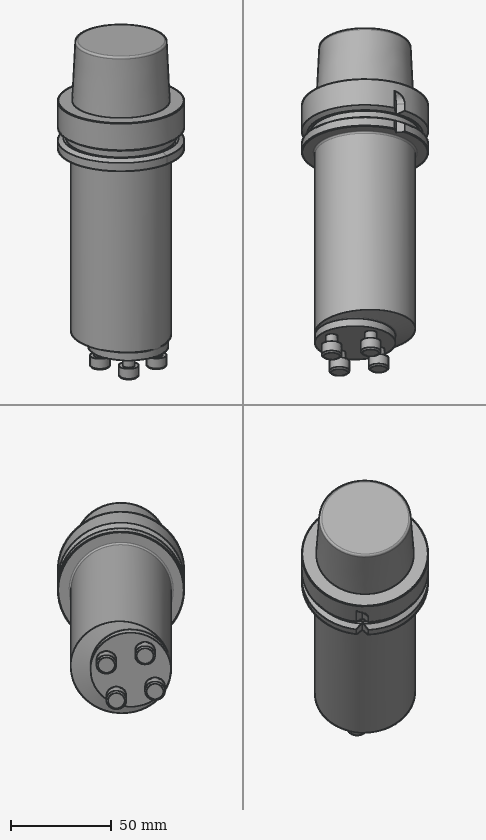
import cadquery as cq
import math

total_height = 172.5
flange_top = 140.4
flange_bottom = 114.5
pilot_top = 15.3
pilot_bottom = 10.9
screw_head_height = 6.0

shank_base_radius = 24.3
shank_tip_radius = 22.8
shank_tip_fillet = 1.2

flange_radius = 63.0 / 2
flange_edge_chamfer = 0.3
groove_floor_radius = 55.0 / 2
groove_center = 122.6
groove_floor_width = 3.8
groove_flank_radius = 28.8
groove_flank_angle = 30.0

body_radius = 50.0 / 2
root_fillet = 0.9

pilot_radius = 40.0 / 2
pilot_offset = body_radius - pilot_radius
pilot_root_fillet = 0.5
cone_slope = math.radians(15)
cone_reach = body_radius + pilot_offset

screw_pitch = 19.8
screw_shank_radius = 6.0 / 2
screw_head_radius = 10.0 / 2
screw_head_chamfer = 0.9

notch_floor_x = -19.8
notch_wall_y = 20.2
notch_radius = 5.5
notch_arc_center = 130.0


def revolve_profile(points):
    """Turn a closed (radius, height) outline about the Z axis."""
    return cq.Workplane("XZ").polyline(points).close().revolve(360, (0, 0), (0, 1))


def make_shank():
    return revolve_profile([
        (0, flange_top),
        (shank_base_radius, flange_top),
        (shank_tip_radius, total_height),
        (0, total_height),
    ]).faces(">Z").edges().fillet(shank_tip_fillet)


def make_flange():
    disc = (
        cq.Workplane("XY", origin=(0, 0, flange_bottom))
        .circle(flange_radius)
        .extrude(flange_top - flange_bottom)
        .edges()
        .chamfer(flange_edge_chamfer)
    )
    flank_width = flange_radius - groove_flank_radius
    half_floor = groove_floor_width / 2
    half_mouth = half_floor + flank_width * math.tan(math.radians(groove_flank_angle))
    groove = revolve_profile([
        (groove_floor_radius, groove_center - half_floor),
        (groove_flank_radius, groove_center - half_floor),
        (flange_radius, groove_center - half_mouth),
        (flange_radius, groove_center + half_mouth),
        (groove_flank_radius, groove_center + half_floor),
        (groove_floor_radius, groove_center + half_floor),
    ])
    return disc.cut(groove).cut(make_notch())


def make_notch():
    """Upright slot with a rounded upper end, open through the flange underside."""
    arc_center_y = notch_wall_y + notch_radius
    length = flange_radius + notch_floor_x
    slot = (
        cq.Workplane("XY")
        .box(length, 2 * notch_radius, notch_arc_center - flange_bottom, centered=(False, True, False))
        .translate((-flange_radius, arc_center_y, flange_bottom))
    )
    rounded_end = (
        cq.Workplane("YZ", origin=(-flange_radius, arc_center_y, notch_arc_center))
        .circle(notch_radius)
        .extrude(length)
    )
    return slot.union(rounded_end)


def make_body():
    """Cylinder whose lower end is trimmed by a cone centered on the pilot axis."""
    cone_top = pilot_top + (cone_reach - pilot_radius) * math.tan(cone_slope)
    tangent_length = pilot_root_fillet / math.tan((math.pi / 2 + cone_slope) / 2)
    fillet_bottom = pilot_top - tangent_length
    fillet_outer_radius = pilot_radius + tangent_length * math.cos(cone_slope)
    fillet_top = pilot_top + tangent_length * math.sin(cone_slope)
    envelope = (
        cq.Workplane("XZ")
        .moveTo(0, fillet_bottom)
        .lineTo(pilot_radius, fillet_bottom)
        .radiusArc((fillet_outer_radius, fillet_top), pilot_root_fillet)
        .lineTo(cone_reach, cone_top)
        .lineTo(cone_reach, flange_bottom)
        .lineTo(0, flange_bottom)
        .close()
        .revolve(360, (0, 0), (0, 1))
        .translate((pilot_offset, 0, 0))
    )
    cylinder = (
        cq.Workplane("XY", origin=(0, 0, pilot_bottom))
        .circle(body_radius)
        .extrude(flange_bottom - pilot_bottom)
    )
    pilot = (
        cq.Workplane("XY", origin=(pilot_offset, 0, pilot_bottom))
        .circle(pilot_radius)
        .extrude(fillet_bottom - pilot_bottom)
    )
    return cylinder.intersect(envelope).union(pilot)


def make_root_fillet():
    """Concave ring in the corner between the body and the flange underside."""
    return (
        cq.Workplane("XZ")
        .moveTo(body_radius, flange_bottom - root_fillet)
        .radiusArc((body_radius + root_fillet, flange_bottom), root_fillet)
        .lineTo(body_radius - root_fillet, flange_bottom)
        .lineTo(body_radius - root_fillet, flange_bottom - root_fillet)
        .close()
        .revolve(360, (0, 0), (0, 1))
    )


def make_screws():
    head = (
        cq.Workplane("XY")
        .circle(screw_head_radius)
        .extrude(screw_head_height)
        .faces("<Z")
        .chamfer(screw_head_chamfer)
    )
    shank = (
        cq.Workplane("XY", origin=(0, 0, screw_head_height))
        .circle(screw_shank_radius)
        .extrude(pilot_bottom - screw_head_height)
    )
    screw = head.union(shank).val()
    return (
        cq.Workplane("XY", origin=(pilot_offset, 0, 0))
        .rect(screw_pitch, screw_pitch, forConstruction=True)
        .vertices()
        .eachpoint(lambda place: screw.moved(place), combine=False)
    )


result = (
    make_body()
    .union(make_root_fillet())
    .union(make_flange())
    .union(make_shank())
    .union(make_screws())
)